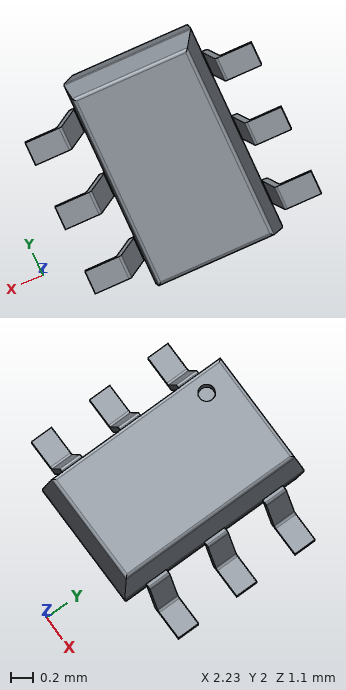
import cadquery as cq
import math

span = 2.23
body_width = 1.25
body_length = 2.0
top_z = 1.1
standoff = 0.05
upper_draft_angle = 6.7
lower_draft_angle = 7.5
body_fillet = 0.031

lead_thickness = 0.058
lead_width = 0.225
lead_pitch = 0.65
lead_rows = 3
lead_top_z = 0.562
foot_length = 0.31
leg_angle = 13.9
bend_radius = 0.027

band_bottom_z = lead_top_z - lead_thickness

marker_diameter = 0.155
marker_depth = 0.134
marker_x = -0.377
marker_y = lead_pitch


def make_tapered_half(start_z, end_z, draft):
    """Block that narrows from the band outline at start_z to its end face at end_z."""
    return (
        cq.Workplane("XY", origin=(0, 0, start_z))
        .rect(body_width, body_length)
        .extrude(end_z - start_z, taper=draft)
    )


def make_housing():
    """Molded body: a straight band with a tapered block above and below it."""
    block = (
        cq.Workplane("XY", origin=(0, 0, band_bottom_z))
        .rect(body_width, body_length)
        .extrude(lead_thickness)
    )
    upper = make_tapered_half(lead_top_z, top_z, upper_draft_angle)
    lower = make_tapered_half(band_bottom_z, standoff, lower_draft_angle)
    block = block.union(upper).union(lower)
    block = block.faces(">Z or <Z").edges().fillet(body_fillet)
    marker = (
        cq.Workplane("XY", origin=(marker_x, marker_y, top_z - marker_depth))
        .circle(marker_diameter / 2)
        .extrude(marker_depth)
    )
    return block.cut(marker)


def make_lead(y):
    """Gull-wing lead on the -X side, centered on y and ending on the body band."""
    lean = math.tan(math.radians(leg_angle))
    leg_run = lean * (lead_top_z - lead_thickness)
    corner_shift = lead_thickness * math.tan(math.radians(45 - leg_angle / 2))

    tip_x = -span / 2
    wall_x = -body_width / 2
    foot_top_x = tip_x + foot_length
    foot_bottom_x = foot_top_x + corner_shift
    shoulder_top_x = foot_top_x + leg_run
    shoulder_bottom_x = foot_bottom_x + leg_run

    outline = [
        (tip_x, 0),
        (foot_bottom_x, 0),
        (shoulder_bottom_x, band_bottom_z),
        (wall_x, band_bottom_z),
        (wall_x, lead_top_z),
        (shoulder_top_x, lead_top_z),
        (foot_top_x, lead_thickness),
        (tip_x, lead_thickness),
    ]
    lead = (
        cq.Workplane("XZ", origin=(0, y, 0))
        .polyline(outline)
        .close()
        .extrude(lead_width / 2, both=True)
    )
    lead = round_bend(lead, foot_bottom_x, y, 0)
    lead = round_bend(lead, shoulder_top_x, y, lead_top_z)
    lead = round_bend(lead, foot_top_x, y, lead_thickness)
    return lead


def round_bend(lead, x, y, z):
    """Fillet the crosswise edge of a lead that passes through the given point."""
    return lead.edges(cq.selectors.NearestToPointSelector((x, y, z))).fillet(bend_radius)


housing = make_housing()

leads = []
for row in range(lead_rows):
    row_y = (row - (lead_rows - 1) / 2) * lead_pitch
    left_lead = make_lead(row_y)
    leads.append(left_lead.val())
    leads.append(left_lead.mirror("YZ").val())

result = cq.Compound.makeCompound([housing.val(), *leads])